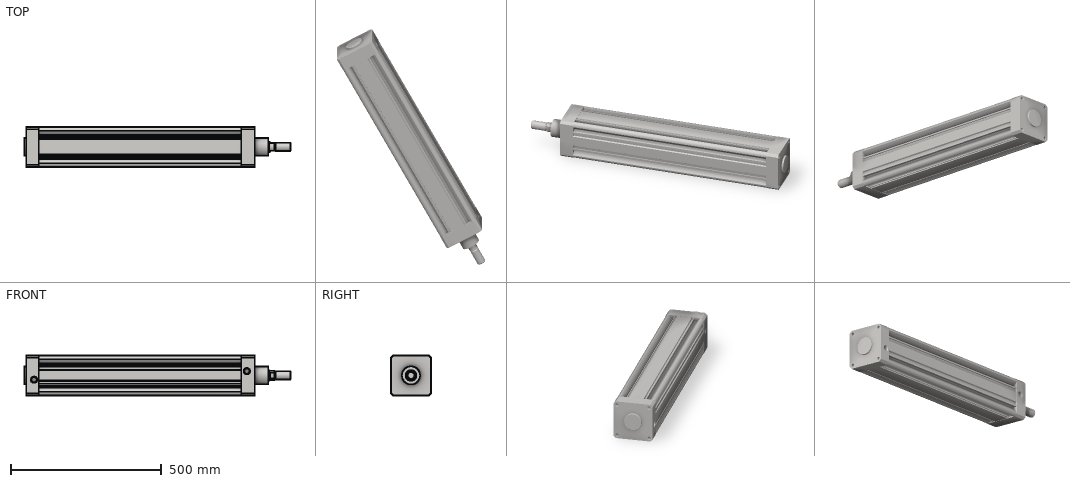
import cadquery as cq
import math

overall_length = 885.0
width = 134.0
half_width = width / 2

rear_boss_length = 6.0
rear_cap_length = 42.5
barrel_length = 672.0
front_cap_length = 45.0
collar_length = 45.0
lip_length = 3.0
rear_cap_start = -overall_length / 2 + rear_boss_length
barrel_start = rear_cap_start + rear_cap_length
front_cap_start = barrel_start + barrel_length
front_cap_end = front_cap_start + front_cap_length
collar_end = front_cap_end + collar_length
lip_end = collar_end + lip_length
rod_end = overall_length / 2

cap_corner_diameter = 178.0
boss_diameter = 60.0
boss_chamfer = 1.0
lip_diameter = 35.0
screw_offset = 55.0
screw_hole_diameter = 10.0
screw_countersink = 1.0
screw_hole_depth = 9.0
port_diameter = 18.0
port_countersink = 2.0
port_depth = 18.0
port_offset = 14.0
rear_port_x = rear_cap_start + 26.5
front_port_x = front_cap_start + 19.0

corner_radius = 13.0
rail_edge = half_width - corner_radius
rail_slope_depth = 12.0
valley_depth = 15.0
valley_edge = rail_edge - rail_slope_depth
valley_floor_edge = 39.0
shoulder_wall_depth = 11.5
shoulder_edge = 34.0
shoulder_depth = 2.0
groove_depth = 5.0
panel_depth = 1.0
front_groove = (28.0, 19.5, 17.0)
top_groove = (31.0, 26.0, 25.0)

rod_diameter = 32.0
flats_width = 26.5
flats_offset = 3.0
flats_length = 14.0
relief_diameter = 21.0
relief_length = 2.0
thread_diameter = 28.0
thread_chamfer = 3.0
flats_start = lip_end + flats_offset
flats_end = flats_start + flats_length
thread_start = flats_end + relief_length


def cylinder(start, end, diameter):
    """Round bar on the X axis from one station to another."""
    return cq.Workplane("YZ", origin=(start, 0, 0)).circle(diameter / 2).extrude(end - start)


def cap_block(start, length):
    """Square cap whose four corners are turned down to a circle about the axis."""
    block = cq.Workplane("YZ", origin=(start, 0, 0)).rect(width, width).extrude(length)
    return block.intersect(cylinder(start, start + length, cap_corner_diameter))


def countersunk_hole(mouth, direction, diameter, depth, countersink_depth):
    """Cutter for a blind hole with a 45-degree countersink, sunk from `mouth` along `direction`."""
    point = cq.Vector(*mouth)
    axis = cq.Vector(*direction)
    hole = cq.Solid.makeCylinder(diameter / 2, depth, point, axis)
    mouth_radius = diameter / 2 + countersink_depth
    countersink = cq.Solid.makeCone(mouth_radius, diameter / 2, countersink_depth, point, axis)
    return cq.Workplane(hole).union(cq.Workplane(countersink))


def port(x, z):
    """Cutter for a port in the -Y face of a cap."""
    return countersunk_hole((x, -half_width, z), (0, 1, 0), port_diameter, port_depth, port_countersink)


def screw_hole(y, z):
    """Cutter for a screw hole in the -X face of the rear cap."""
    mouth = (rear_cap_start, y, z)
    return countersunk_hole(mouth, (1, 0, 0), screw_hole_diameter, screw_hole_depth, screw_countersink)


def make_rear_cap():
    cap = cap_block(rear_cap_start, rear_cap_length)
    boss = cylinder(-overall_length / 2, rear_cap_start, boss_diameter)
    cap = cap.union(boss.faces("<X").chamfer(boss_chamfer))
    for y in (-screw_offset, screw_offset):
        for z in (-screw_offset, screw_offset):
            cap = cap.cut(screw_hole(y, z))
    return cap.cut(port(rear_port_x, -port_offset))


def make_front_cap():
    cap = cap_block(front_cap_start, front_cap_length)
    cap = cap.union(cylinder(front_cap_end, collar_end, boss_diameter))
    cap = cap.union(cylinder(collar_end, lip_end, lip_diameter))
    cap = cap.cut(cylinder(front_cap_start, lip_end, rod_diameter))
    return cap.cut(port(front_port_x, port_offset))


def half_side(groove):
    """Half of one side as (distance from the middle, depth below the cap face), from the corner inward."""
    groove_outer, groove_inner, panel_edge = groove
    return [
        (rail_edge, 0),
        (valley_edge, rail_slope_depth),
        (valley_edge, valley_depth),
        (valley_floor_edge, valley_depth),
        (shoulder_edge, shoulder_wall_depth),
        (shoulder_edge, shoulder_depth),
        (groove_outer, shoulder_depth),
        (groove_outer, groove_depth),
        (groove_inner, groove_depth),
        (panel_edge, panel_depth),
    ]


def turned(u, v, quarter):
    """Point (u, v) of the section turned about the axis by a number of quarter turns."""
    angle = math.radians(90 * quarter)
    return (u * math.cos(angle) - v * math.sin(angle), u * math.sin(angle) + v * math.cos(angle))


def make_barrel():
    profile = cq.Workplane("YZ", origin=(barrel_start, 0, 0)).moveTo(-rail_edge, -half_width)
    arc_middle = rail_edge + corner_radius * math.sqrt(0.5)
    for quarter, groove in enumerate((top_groove, front_groove, top_groove, front_groove)):
        half = half_side(groove)
        side = [(-u, depth) for u, depth in half] + list(reversed(half))
        for u, depth in side[1:]:
            profile = profile.lineTo(*turned(u, depth - half_width, quarter))
        profile = profile.threePointArc(
            turned(arc_middle, -arc_middle, quarter),
            turned(half_width, -rail_edge, quarter),
        )
    return profile.close().extrude(barrel_length)


def make_rod():
    rod = cylinder(front_cap_start, flats_start, rod_diameter)
    flats = cq.Workplane("XY").box(flats_length, flats_width, rod_diameter)
    flats = flats.translate((flats_start + flats_length / 2, 0, 0))
    rod = rod.union(cylinder(flats_start, flats_end, rod_diameter).intersect(flats))
    rod = rod.union(cylinder(flats_end, thread_start, relief_diameter))
    thread = cylinder(thread_start, rod_end, thread_diameter).faces("<X or >X").chamfer(thread_chamfer)
    return rod.union(thread)


rear_cap = make_rear_cap()
barrel = make_barrel()
front_cap = make_front_cap()
rod = make_rod()

result = cq.Compound.makeCompound([rear_cap.val(), barrel.val(), front_cap.val(), rod.val()])